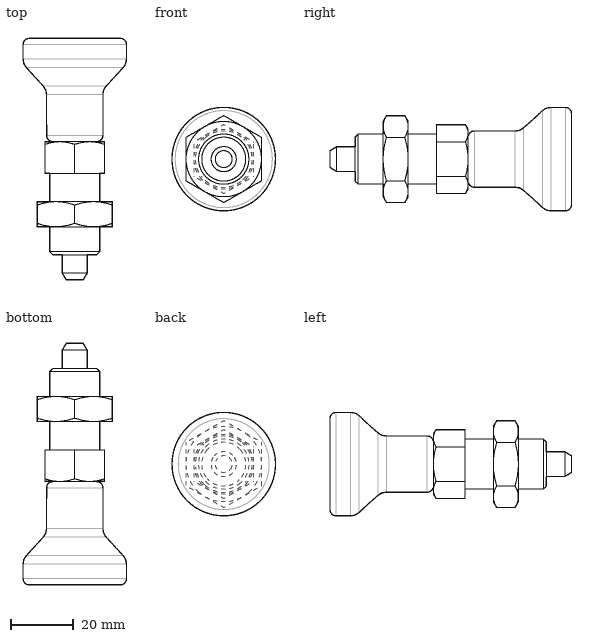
import cadquery as cq
import math


body_start = 8.0
nut_start = 16.95
collar_start = 33.95
grip_start = 44.05
neck_end = 60.6
shoulder_start = 68.8
overall_length = 77.0

pin_diameter = 8.0
pin_tip_diameter = 5.4
pin_taper_length = 2.15

body_diameter = 16.0
body_chamfer = 1.0

nut_flats = 24.0
nut_thickness = 8.0
collar_flats = 19.0
hex_chamfer_angle = 30.0

knob_diameter = 33.0
grip_diameter = 18.0
edge_radius = 2.0
blend_radius = 4.0
selection_margin = 0.8


def revolved(profile):
    """Turn a closed (radius, y) outline about the Y axis."""
    return cq.Workplane("XY").polyline(profile).close().revolve(360, (0, 0, 0), (0, 1, 0))


def hexagon(flats, start, end, chamfer_start, chamfer_end):
    """Hexagon with flats facing +/-X; the chosen ends have conically cut corners."""
    corner_radius = flats / 2 / math.cos(math.radians(30))
    corners = []
    for index in range(6):
        angle = math.radians(30 + 60 * index)
        corners.append((corner_radius * math.cos(angle), corner_radius * math.sin(angle)))
    prism = cq.Workplane("XZ", origin=(0, start, 0)).polyline(corners).close().extrude(start - end)

    drop = (corner_radius - flats / 2) * math.tan(math.radians(hex_chamfer_angle))
    envelope = [(0, start)]
    if chamfer_start:
        envelope += [(flats / 2, start), (corner_radius, start + drop)]
    else:
        envelope.append((corner_radius, start))
    if chamfer_end:
        envelope += [(corner_radius, end - drop), (flats / 2, end)]
    else:
        envelope.append((corner_radius, end))
    envelope.append((0, end))
    return prism.intersect(revolved(envelope))


def plunger():
    """Tapered pin and the chamfered body behind it."""
    return revolved([
        (0, 0),
        (pin_tip_diameter / 2, 0),
        (pin_diameter / 2, pin_taper_length),
        (pin_diameter / 2, body_start),
        (body_diameter / 2 - body_chamfer, body_start),
        (body_diameter / 2, body_start + body_chamfer),
        (body_diameter / 2, collar_start),
        (0, collar_start),
    ])


def knob():
    """Grip flaring into a round head, with rounded ends and blended flare."""
    blank = revolved([
        (0, grip_start),
        (grip_diameter / 2, grip_start),
        (grip_diameter / 2, neck_end),
        (knob_diameter / 2, shoulder_start),
        (knob_diameter / 2, overall_length),
        (0, overall_length),
    ])
    blended = blank
    for diameter, station in ((grip_diameter, neck_end), (knob_diameter, shoulder_start)):
        reach = diameter / 2 + selection_margin
        corner = cq.selectors.BoxSelector(
            (-reach, station - selection_margin, -reach),
            (reach, station + selection_margin, reach),
            boundingbox=True,
        )
        blended = blended.edges(corner).fillet(blend_radius)
    return blended.faces("<Y or >Y").edges().fillet(edge_radius)


collar = hexagon(collar_flats, collar_start, grip_start, False, True)
nut = hexagon(nut_flats, nut_start, nut_start + nut_thickness, True, True)

result = plunger().union(collar).union(nut).union(knob())